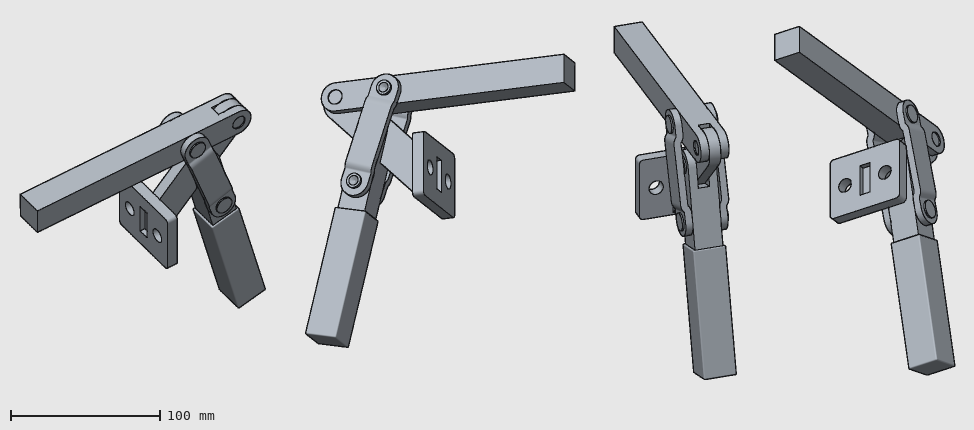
import cadquery as cq
import math


bar_width = 20.0
bar_half = bar_width / 2
tongue_thickness = 8.0

arm_reach = 165.2
arm_tilt = 0.2
arm_slot_depth = 12.5
arm_to_link = 37.8

bracket_angle = 45
bracket_width = 26.0
head_offset = 3.4
bracket_to_handle = 36.1

plate_width = 56.0
plate_height = 45.0
plate_thickness = 8.0
plate_front = -71.2
plate_center_z = -60.7
plate_corner = 3.0
plate_hole_spacing = 32.0
plate_hole_diameter = 10.0
tenon_height = 22.5
tenon_recess = 4.0

handle_tilt = 14
handle_slot_depth = 15.0
handle_to_link = 38.8
grip_start = 57.2
grip_end = 146.8
grip_width = 23.1
grip_rounding = 1.0

link_thickness = 5.0
link_bend_start = 6.9
link_bend_angle = math.radians(35)
link_offset = 2.0
link_bend_radius = 1.7

pin_radius = 5.0
pin_head_height = 2.0
pin_socket_radius = 3.4
pin_socket_depth = 2.8
washer_radius = 6.1
washer_thickness = 1.1
pivot_pin_recess = 1.0


def along(origin, distance, degrees):
    """Point (Y, Z) at a distance from origin, measured from straight down toward +Y."""
    angle = math.radians(degrees)
    return (origin[0] + distance * math.sin(angle), origin[1] - distance * math.cos(angle))


def place(solid, origin, degrees):
    """Swing a hanging piece about X and move its local origin to (Y, Z)."""
    return solid.rotate((0, 0, 0), (1, 0, 0), degrees).translate((0, origin[0], origin[1]))


def hanging_bar(length, width, thickness):
    """Bar hanging from the origin along -Z, with a round upper end."""
    body = cq.Workplane("XY").box(thickness, width, length, centered=(True, True, False))
    return body.translate((0, 0, -length)).union(cylinder(width / 2, -thickness / 2, thickness / 2))


def cylinder(radius, x_start, x_end):
    """Cylinder about the X axis."""
    return cq.Workplane("YZ").workplane(offset=x_start).circle(radius).extrude(x_end - x_start)


pivot = (0, 0)
bracket_head = along(pivot, head_offset, -bracket_angle)
handle_pin = along(pivot, bracket_to_handle, -bracket_angle)
upper_link_pin = along(pivot, arm_to_link, arm_tilt - 90)
lower_link_pin = along(handle_pin, handle_to_link, handle_tilt)
link_run = lower_link_pin[0] - upper_link_pin[0]
link_drop = upper_link_pin[1] - lower_link_pin[1]
link_length = math.hypot(link_run, link_drop)
link_tilt = math.degrees(math.atan2(link_run, link_drop))


def clamp_arm():
    arm = hanging_bar(arm_reach, bar_width, bar_width)
    slot_length = arm_slot_depth + bar_half
    slot = cq.Workplane("XY").box(tongue_thickness, bar_width, slot_length)
    arm = arm.cut(slot.translate((0, 0, slot_length / 2 - arm_slot_depth)))
    pin_end = bar_half - pivot_pin_recess
    arm = arm.cut(cylinder(pin_radius, -bar_half, bar_half))
    arm = arm.union(cylinder(pin_radius, -pin_end, pin_end))
    return place(arm, pivot, arm_tilt - 90)


def bracket():
    plate_back = plate_front + plate_thickness
    plate = (
        cq.Workplane("XY")
        .box(plate_width, plate_thickness, plate_height)
        .edges("|Y")
        .fillet(plate_corner)
        .faces("<Y")
        .workplane()
        .rect(tongue_thickness, tenon_height)
        .cutThruAll()
        .faces("<Y")
        .workplane()
        .pushPoints([(-plate_hole_spacing / 2, 0), (plate_hole_spacing / 2, 0)])
        .hole(plate_hole_diameter)
        .translate((0, (plate_front + plate_back) / 2, plate_center_z))
    )
    strip_length = 2 * abs(plate_front)
    strip = place(hanging_bar(strip_length, bracket_width, tongue_thickness), bracket_head, -bracket_angle)
    beyond_plate = cq.Workplane("XY").box(plate_width, strip_length, 2 * strip_length)
    strip = strip.cut(beyond_plate.translate((0, plate_back - strip_length / 2, plate_center_z)))
    tenon_length = plate_thickness - tenon_recess
    tenon = cq.Workplane("XY").box(tongue_thickness, tenon_length, tenon_height)
    tenon = tenon.translate((0, plate_back - tenon_length / 2, plate_center_z))
    return plate.union(strip).union(tenon)


def handle():
    bar = hanging_bar(grip_end - grip_rounding, bar_width, bar_width)
    slot_length = handle_slot_depth + bar_half
    slot = cq.Workplane("XY").box(tongue_thickness, bar_width, slot_length)
    bar = bar.cut(slot.translate((0, 0, slot_length / 2 - handle_slot_depth)))
    grip = cq.Workplane("XY").box(grip_width, grip_width, grip_end - grip_start)
    grip = grip.edges().fillet(grip_rounding).translate((0, 0, -(grip_start + grip_end) / 2))
    return place(bar.union(grip), handle_pin, handle_tilt)


def link_face(end_x, first_radius, second_radius):
    """Straight and arc points of one link face from the top end to mid length, as (X, Z)."""
    radius_sum = first_radius + second_radius
    flank = (link_offset - radius_sum * (1 - math.cos(link_bend_angle))) / math.sin(link_bend_angle)
    bend_end = (
        link_bend_start
        + radius_sum * math.sin(link_bend_angle)
        + flank * math.cos(link_bend_angle)
    )
    first_center = end_x + first_radius
    second_center = end_x + link_offset - second_radius
    first, second = [], []
    for share in (0, 0.5, 1):
        angle = share * link_bend_angle
        reach, rise = math.cos(angle), math.sin(angle)
        first.append((first_center - first_radius * reach, -link_bend_start - first_radius * rise))
        second.insert(0, (second_center + second_radius * reach, -bend_end + second_radius * rise))
    return first, second


def link():
    """Link on the +X side: bent section trimmed to a round-ended outline."""
    outer_radius = link_bend_radius + link_thickness
    inner = link_face(bar_half, outer_radius, link_bend_radius)
    outer = link_face(bar_half + link_thickness, link_bend_radius, outer_radius)
    middle = -link_length / 2
    top = bar_half
    section = (
        cq.Workplane("XZ")
        .moveTo(bar_half, top)
        .lineTo(*inner[0][0])
        .threePointArc(*inner[0][1:])
        .lineTo(*inner[1][0])
        .threePointArc(*inner[1][1:])
        .lineTo(bar_half + link_offset, middle)
        .lineTo(bar_half + link_offset + link_thickness, middle)
        .lineTo(*outer[1][2])
        .threePointArc(*outer[1][1::-1])
        .lineTo(*outer[0][2])
        .threePointArc(*outer[0][1::-1])
        .lineTo(bar_half + link_thickness, top)
        .close()
        .extrude(bar_half, both=True)
    )
    outline = hanging_bar(-middle, bar_width, 2 * plate_width)
    upper_half = section.intersect(outline)
    lower_half = upper_half.mirror("XY", (0, 0, middle))
    return place(upper_half.union(lower_half), upper_link_pin, link_tilt)


def pin(center, joint_half):
    """Pin through a joint: head on the -X end, lock washer on the +X end."""
    tip_x = joint_half + washer_thickness
    shank = cylinder(pin_radius, -joint_half - pin_head_height, tip_x)
    return place(shank.union(cylinder(washer_radius, joint_half, tip_x)), center, 0)


def pin_socket(center, joint_half):
    """Conical socket in the head of a pin, to be cut away."""
    mouth = cq.Vector(-joint_half - pin_head_height, *center)
    cone = cq.Solid.makeCone(pin_socket_radius, 0, pin_socket_depth, mouth, cq.Vector(1, 0, 0))
    return cq.Workplane(cone)


right_link = link()
left_link = right_link.mirror("YZ")
result = clamp_arm().union(bracket()).union(handle()).union(right_link).union(left_link)

link_joint_half = bar_half + link_thickness
for pin_center, pin_joint_half in (
    (handle_pin, bar_half),
    (upper_link_pin, link_joint_half),
    (lower_link_pin, link_joint_half),
):
    result = result.union(pin(pin_center, pin_joint_half))
    result = result.cut(pin_socket(pin_center, pin_joint_half))